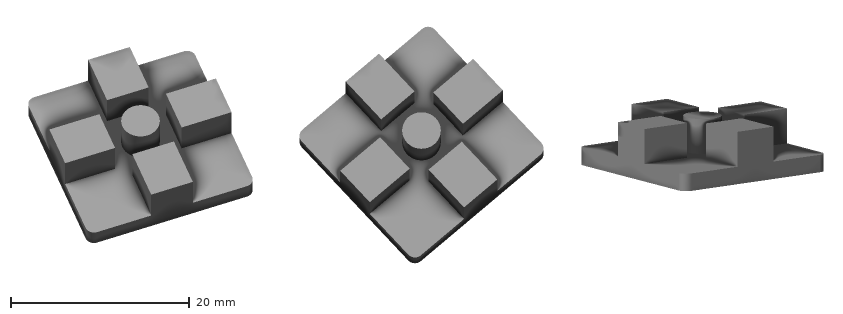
import cadquery as cq

plate_side = 20.0
plate_thickness = 2.0
corner_radius = 1.0

total_height = 6.0
raised_height = total_height - plate_thickness
block_width = 5.0
block_length = 6.0
pin_diameter = 4.35


def make_plate():
    """Base plate with rounded vertical corners, bottom face at Z = 0."""
    plate = cq.Workplane("XY").box(plate_side, plate_side, plate_thickness, centered=(True, True, False))
    return plate.edges("|Z").fillet(corner_radius)


def make_edge_block(angle):
    """Block flush with the middle of one plate edge, turned about Z by angle degrees."""
    center_offset = (plate_side - block_length) / 2
    return (
        cq.Workplane("XY", origin=(center_offset, 0, 0))
        .box(block_length, block_width, total_height, centered=(True, True, False))
        .rotate((0, 0, 0), (0, 0, 1), angle)
    )


def make_pin():
    """Round pin at the center of the plate."""
    return cq.Workplane("XY", origin=(0, 0, plate_thickness)).circle(pin_diameter / 2).extrude(raised_height)


result = make_plate().union(make_pin())
for angle in (0, 90, 180, 270):
    result = result.union(make_edge_block(angle))